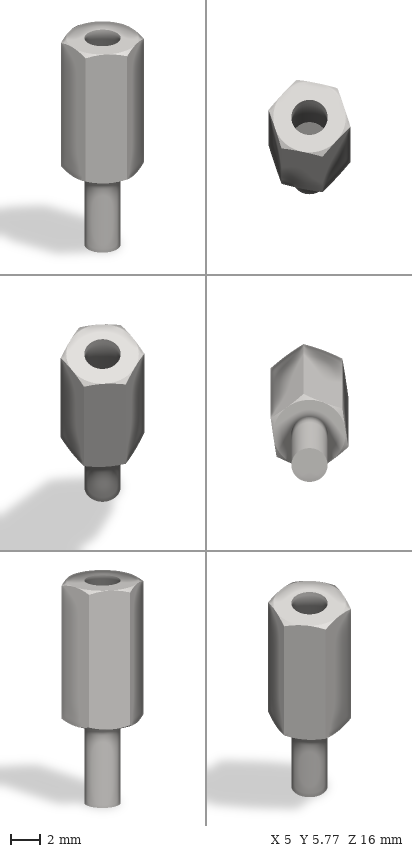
import cadquery as cq
import math

total_length = 16.0
hex_length = 10.0
bore_depth = 6.0
chamfer_angle = 30.0

across_flats = hex_length / 2
across_corners = across_flats / math.cos(math.radians(30))
stud_diameter = across_flats / 2
stud_exposed_length = total_length - hex_length
stud_seated_length = hex_length - bore_depth

flat_radius = across_flats / 2
corner_radius = across_corners / 2
chamfer_height = (corner_radius - flat_radius) * math.tan(math.radians(chamfer_angle))


def make_chamfer_envelope():
    """Revolved envelope whose conical ends trim the corners of the hexagon."""
    return (
        cq.Workplane("XZ")
        .moveTo(0, 0)
        .lineTo(flat_radius, 0)
        .lineTo(corner_radius, chamfer_height)
        .lineTo(corner_radius, hex_length - chamfer_height)
        .lineTo(flat_radius, hex_length)
        .lineTo(0, hex_length)
        .close()
        .revolve(360, (0, 0, 0), (0, 1, 0))
    )


def make_standoff():
    """Hexagonal standoff with corners on the Y axis and a bore right through."""
    hexagon = (
        cq.Workplane("XY")
        .transformed(rotate=(0, 0, 90))
        .polygon(6, across_corners)
        .extrude(hex_length)
    )
    bore = cq.Workplane("XY").circle(stud_diameter / 2).extrude(hex_length)
    return hexagon.intersect(make_chamfer_envelope()).cut(bore)


def make_stud():
    """Plain stud seated in the lower part of the bore."""
    return (
        cq.Workplane("XY")
        .workplane(offset=-stud_exposed_length)
        .circle(stud_diameter / 2)
        .extrude(stud_exposed_length + stud_seated_length)
    )


standoff = make_standoff()
stud = make_stud()

result = cq.Compound.makeCompound([standoff.val(), stud.val()])